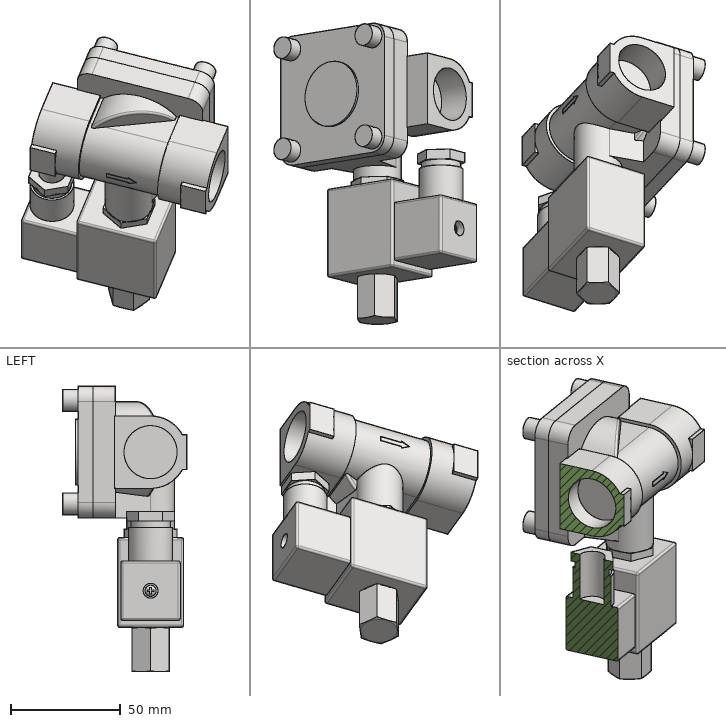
import cadquery as cq
import math


pipe_length = 84.0
end_length = 23.0
end_radius = 16.5
middle_radius = 15.0
middle_length = pipe_length - 2 * end_length
bore_diameter = 24.2
bore_depth = 14.3
pad_length = 12.0
pad_height = 16.0

arrow_tail_x = -6.0
arrow_head_x = 4.4
arrow_tip_x = 8.3
arrow_shaft_width = 2.3
arrow_head_width = 3.9
arrow_relief = 0.3

flange_size = 60.0
flange_corner_radius = 7.0
flange_front_y = 16.0
cover_front_y = 26.1
cover_back_y = 33.0
screw_diameter = 10.0
screw_end_y = 40.0
screw_spacing = 47.0
disc_diameter = 30.0
disc_height = 1.2

boss_radius = 23.0
boss_root = 2.0
boss_cut_center_y = 5.5
boss_cut_slope = 0.47
boss_edge_radius = 1.0

stem_diameter = 21.8
stem_bottom_z = -35.1
web_flange_width = 28.1

coil_length = 38.1
coil_width = 30.0
coil_center_x = -1.4
coil_top_z = -38.9
coil_bottom_z = -79.8
coil_edge_radius = 1.0
collar_flats = 20.9
tail_flats = 17.0
tail_bottom_z = flange_size / 2 - 130
tail_end_diameter = 16.5
tail_end_height = 0.4

plug_left_x = -47.5
plug_width = 27.0
plug_top_z = -49.5
plug_bottom_z = -76.7
plug_edge_radius = 1.0

gland_x = -36.9
gland_diameter = 20.0
gland_top_z = -34.3
gland_neck_diameter = 18.0
gland_nut_flats = 18.8
gland_nut_bottom_z = -31.5
gland_nut_top_z = -26.9
cable_hole_diameter = 12.0

screw_hole_diameter = 6.8
screw_hole_depth = 5.2
head_diameter = 5.1
head_top_depth = 2.1
head_dome_height = 1.3
cross_length = 3.0
cross_width = 0.8
cross_depth = 1.3


def box_between(x_range, y_range, z_range):
    """Box given by its lower and upper limit along each axis."""
    limits = (x_range, y_range, z_range)
    sizes = [high - low for low, high in limits]
    corner = tuple(low for low, high in limits)
    return cq.Workplane().box(*sizes, centered=False).translate(corner)


def round_bar(diameter, x, bottom_z, top_z):
    """Upright cylinder centred on y = 0."""
    return cq.Workplane("XY", origin=(x, 0, bottom_z)).circle(diameter / 2).extrude(top_z - bottom_z)


def hex_bar(flats, x, bottom_z, top_z, turn):
    """Upright hexagonal bar; with no turn two of its corners lie along X."""
    corner_diameter = flats / math.cos(math.radians(30))
    bar = cq.Workplane("XY").polygon(6, corner_diameter).extrude(top_z - bottom_z)
    return bar.rotate((0, 0, 0), (0, 0, 1), turn).translate((x, 0, bottom_z))


def square_plate(front_y, back_y):
    """Square plate with round corners, upright in the XZ plane."""
    plate = cq.Workplane("XZ", origin=(0, back_y, 0)).rect(flange_size, flange_size)
    return plate.extrude(back_y - front_y).edges("|Y").fillet(flange_corner_radius)


def pipe_section(radius, back_y, start_x, length):
    """Pipe length that is round in front and square at the back."""
    outline = (
        cq.Workplane("YZ", origin=(start_x, 0, 0))
        .moveTo(0, radius)
        .threePointArc((-radius, 0), (0, -radius))
        .lineTo(back_y, -radius)
        .lineTo(back_y, radius)
        .close()
    )
    return outline.extrude(length)


def make_pipe():
    """Middle pipe with a thicker, padded and blind-bored end on each side."""
    pipe = pipe_section(middle_radius, flange_front_y, -middle_length / 2, middle_length)
    half_length = pipe_length / 2
    for side in (-1, 1):
        inner_x = side * middle_length / 2
        outer_x = side * half_length
        end = pipe_section(end_radius, end_radius, min(inner_x, outer_x), end_length)
        pad_start = outer_x - side * pad_length
        pad = box_between(
            (min(pad_start, outer_x), max(pad_start, outer_x)),
            (-end_radius, 0),
            (-pad_height / 2, pad_height / 2),
        )
        bore = cq.Workplane("YZ", origin=(outer_x, 0, 0)).circle(bore_diameter / 2).extrude(-side * bore_depth)
        pipe = pipe.union(end.union(pad).cut(bore))
    return pipe


def make_arrow():
    """Thin raised flow arrow that follows the round front of the pipe."""
    half_shaft = arrow_shaft_width / 2
    half_head = arrow_head_width / 2
    outline = [
        (arrow_tail_x, -half_shaft),
        (arrow_head_x, -half_shaft),
        (arrow_head_x, -half_head),
        (arrow_tip_x, 0),
        (arrow_head_x, half_head),
        (arrow_head_x, half_shaft),
        (arrow_tail_x, half_shaft),
    ]
    arrow = cq.Workplane("XZ").polyline(outline).close().extrude(end_radius)
    skin = cq.Workplane("YZ").circle(middle_radius + arrow_relief).extrude(middle_length / 2, both=True)
    return arrow.intersect(skin)


def make_boss():
    """Round boss behind the pipe with a slanting, rounded front."""
    back_y = flange_front_y + boss_root
    drop = boss_cut_slope * boss_radius
    cylinder = cq.Workplane("XZ", origin=(0, back_y, 0)).circle(boss_radius).extrude(back_y + boss_radius)
    kept_side = (
        cq.Workplane("XY")
        .polyline([
            (-boss_radius, boss_cut_center_y - drop),
            (boss_radius, boss_cut_center_y + drop),
            (boss_radius, back_y),
            (-boss_radius, back_y),
        ])
        .close()
        .extrude(boss_radius, both=True)
    )
    return cylinder.intersect(kept_side).faces("<Y").edges().fillet(boss_edge_radius)


def make_stem():
    """Outlet stem below the pipe and its web, which widens towards the flange."""
    stem = round_bar(stem_diameter, 0, stem_bottom_z, 0)
    half_stem = stem_diameter / 2
    half_flange = web_flange_width / 2
    web = (
        cq.Workplane("XY")
        .polyline([
            (-half_stem, 0),
            (half_stem, 0),
            (half_flange, flange_front_y),
            (-half_flange, flange_front_y),
        ])
        .close()
        .extrude(-flange_size / 2)
    )
    return stem.union(web)


def make_valve_body():
    body = make_pipe().union(square_plate(flange_front_y, cover_front_y))
    return body.union(make_boss()).union(make_stem()).union(make_arrow())


def make_cover():
    """Cover plate with four screw heads and a low round disc on its back."""
    cover = square_plate(cover_front_y, cover_back_y)
    back = cq.Workplane("XZ", origin=(0, cover_back_y, 0))
    heads = back.rect(screw_spacing, screw_spacing, forConstruction=True).vertices()
    heads = heads.circle(screw_diameter / 2).extrude(cover_back_y - screw_end_y)
    disc = back.circle(disc_diameter / 2).extrude(-disc_height)
    return cover.union(heads).union(disc)


def make_tail():
    """Hexagonal tail below the coil, with the corners of both ends turned off."""
    height = coil_bottom_z - tail_bottom_z
    tail = hex_bar(tail_flats, 0, tail_bottom_z, coil_bottom_z, 0)
    corner_radius = tail_flats / 2 / math.cos(math.radians(30))
    envelope = (
        cq.Workplane("XZ", origin=(0, 0, tail_bottom_z))
        .polyline([
            (0, 0),
            (tail_end_diameter / 2, 0),
            (corner_radius, tail_end_height),
            (corner_radius, height - tail_end_height),
            (tail_end_diameter / 2, height),
            (0, height),
        ])
        .close()
        .revolve(360, (0, 0), (0, 1))
    )
    return tail.intersect(envelope)


def make_coil():
    """Coil block with the collar hexagon above and the tail hexagon below."""
    block = box_between(
        (coil_center_x - coil_length / 2, coil_center_x + coil_length / 2),
        (-coil_width / 2, coil_width / 2),
        (coil_bottom_z, coil_top_z),
    )
    block = block.edges().fillet(coil_edge_radius)
    collar = hex_bar(collar_flats, 0, coil_top_z, stem_bottom_z, 30)
    return block.union(collar).union(make_tail())


def make_gland():
    """Stepped cable gland with a hexagonal nut."""
    base = round_bar(gland_diameter, gland_x, plug_top_z, gland_top_z)
    neck = round_bar(gland_neck_diameter, gland_x, gland_top_z, gland_nut_bottom_z)
    nut = hex_bar(gland_nut_flats, gland_x, gland_nut_bottom_z, gland_nut_top_z, 30)
    cable_hole = round_bar(cable_hole_diameter, gland_x, plug_top_z, gland_nut_top_z)
    return base.union(neck).union(nut).cut(cable_hole)


def make_screw_head(floor_x, center_z):
    """Domed screw head with a cross recess, facing -X."""
    top_x = plug_left_x + head_top_depth
    rim_x = top_x + head_dome_height
    head_radius = head_diameter / 2
    dome_radius = (head_radius**2 + head_dome_height**2) / (2 * head_dome_height)
    mid_radius = head_radius / 2
    mid_x = top_x + dome_radius - math.sqrt(dome_radius**2 - mid_radius**2)
    head = (
        cq.Workplane("XY")
        .moveTo(floor_x, 0)
        .lineTo(top_x, 0)
        .threePointArc((mid_x, mid_radius), (rim_x, head_radius))
        .lineTo(floor_x, head_radius)
        .close()
        .revolve(360, (0, 0), (1, 0))
    )
    slot_start = cq.Workplane("YZ", origin=(top_x, 0, 0))
    for slot_size in ((cross_length, cross_width), (cross_width, cross_length)):
        head = head.cut(slot_start.rect(*slot_size).extrude(cross_depth))
    return head.translate((0, 0, center_z))


def make_plug():
    """Connector block with its gland and its sunk fixing screw."""
    inner_x = coil_center_x - coil_length / 2
    block = box_between(
        (plug_left_x, inner_x),
        (-plug_width / 2, plug_width / 2),
        (plug_bottom_z, plug_top_z),
    )
    block = block.edges("|X or <X").fillet(plug_edge_radius)
    center_z = (plug_top_z + plug_bottom_z) / 2
    screw_hole = cq.Workplane("YZ", origin=(plug_left_x, 0, center_z))
    screw_hole = screw_hole.circle(screw_hole_diameter / 2).extrude(screw_hole_depth)
    block = block.cut(screw_hole)
    block = block.union(make_screw_head(plug_left_x + screw_hole_depth, center_z))
    return block.union(make_gland())


def make_solenoid():
    return make_coil().union(make_plug())


valve_body = make_valve_body()
cover = make_cover()
solenoid = make_solenoid()

result = cq.Compound.makeCompound([valve_body.val(), cover.val(), solenoid.val()])